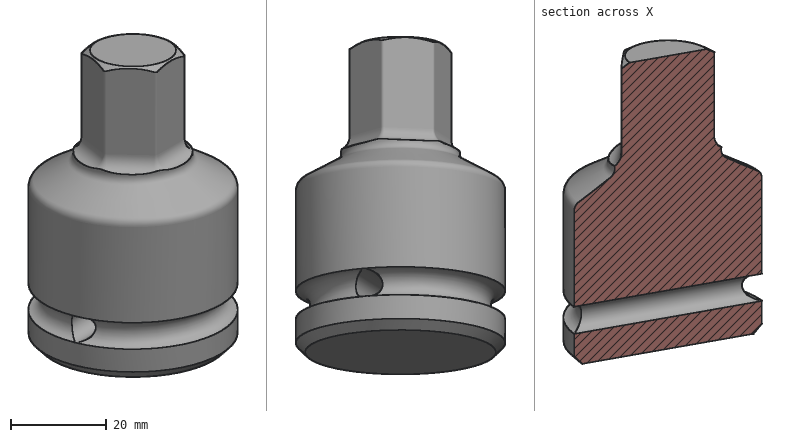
import cadquery as cq
import math

total_height = 66.0
body_radius = 44.0 / 2

base_chamfer = 2.0
shoulder_start_z = 34.85
shoulder_slope = math.radians(30)
blend_radius = 2.0
neck_radius = 12.55
neck_top_z = 42.9

pin_diameter = 6.0
groove_z = 10.15

hex_across_flats = 19.0
hex_edge_radius = 0.65
hex_root_radius = 3.25
tip_flat_radius = 9.05
tip_slope = math.radians(30)


def arc_point(center_r, center_z, radius, angle):
    """Point of the half profile on an arc, with the angle measured from the radial direction."""
    return (center_r + radius * math.cos(angle), center_z + radius * math.sin(angle))


def make_body():
    """Revolved body: chamfered base, cylinder, conical shoulder and short neck."""
    normal_angle = math.pi / 2 - shoulder_slope
    lower_center = (body_radius - blend_radius, shoulder_start_z)
    cone_start = arc_point(*lower_center, blend_radius, normal_angle)
    lower_middle = arc_point(*lower_center, blend_radius, normal_angle / 2)

    upper_center_r = neck_radius + blend_radius
    cone_end_r = upper_center_r - blend_radius * math.cos(normal_angle)
    cone_end_z = cone_start[1] + (cone_start[0] - cone_end_r) * math.tan(shoulder_slope)
    upper_center_z = cone_end_z + blend_radius * math.sin(normal_angle)
    upper_middle = arc_point(upper_center_r, upper_center_z, blend_radius, math.pi + normal_angle / 2)

    return (
        cq.Workplane("XZ")
        .lineTo(body_radius - base_chamfer, 0)
        .lineTo(body_radius, base_chamfer)
        .lineTo(body_radius, shoulder_start_z)
        .threePointArc(lower_middle, cone_start)
        .lineTo(cone_end_r, cone_end_z)
        .threePointArc(upper_middle, (neck_radius, upper_center_z))
        .lineTo(neck_radius, neck_top_z)
        .lineTo(0, neck_top_z)
        .close()
        .revolve(360, (0, 0, 0), (0, 1, 0))
    )


def make_groove():
    """Ring of round section centred on the body surface."""
    return (
        cq.Workplane("XZ")
        .center(body_radius, groove_z)
        .circle(pin_diameter / 2)
        .revolve(360, (-body_radius, 0, 0), (-body_radius, 1, 0))
    )


def make_pin_hole():
    """Cross hole along Y through the middle of the groove."""
    return (
        cq.Workplane("XZ")
        .center(0, groove_z)
        .circle(pin_diameter / 2)
        .extrude(body_radius, both=True)
    )


def make_hex_envelope():
    """Cylinder of neck radius topped by the shallow cone that chamfers the hexagon tip."""
    cone_base_z = total_height - (neck_radius - tip_flat_radius) * math.tan(tip_slope)
    return (
        cq.Workplane("XZ")
        .lineTo(neck_radius, 0)
        .lineTo(neck_radius, cone_base_z)
        .lineTo(tip_flat_radius, total_height)
        .lineTo(0, total_height)
        .close()
        .revolve(360, (0, 0, 0), (0, 1, 0))
    )


def make_hex_drive():
    """Hexagon with corners on Y, flared at its root and trimmed to the neck."""
    foot_radius = body_radius
    foot = cq.Workplane("XY").circle(foot_radius).extrude(neck_top_z)
    hexagon = (
        cq.Workplane("XY")
        .workplane(offset=neck_top_z)
        .transformed(rotate=(0, 0, 90))
        .polygon(6, hex_across_flats / math.cos(math.pi / 6))
        .extrude(total_height - neck_top_z)
        .edges("|Z")
        .fillet(hex_edge_radius)
    )
    root_box = cq.selectors.BoxSelector(
        (-neck_radius, -neck_radius, neck_top_z - hex_edge_radius),
        (neck_radius, neck_radius, neck_top_z + hex_edge_radius),
    )
    root_edges = cq.selectors.SubtractSelector(root_box, cq.selectors.RadiusNthSelector(-1))
    flared = foot.union(hexagon).edges(root_edges).fillet(hex_root_radius)
    above_neck = (
        cq.Workplane("XY")
        .workplane(offset=neck_top_z)
        .circle(foot_radius)
        .extrude(total_height - neck_top_z)
    )
    return flared.intersect(above_neck).intersect(make_hex_envelope())


result = make_body().union(make_hex_drive()).cut(make_groove()).cut(make_pin_hole())